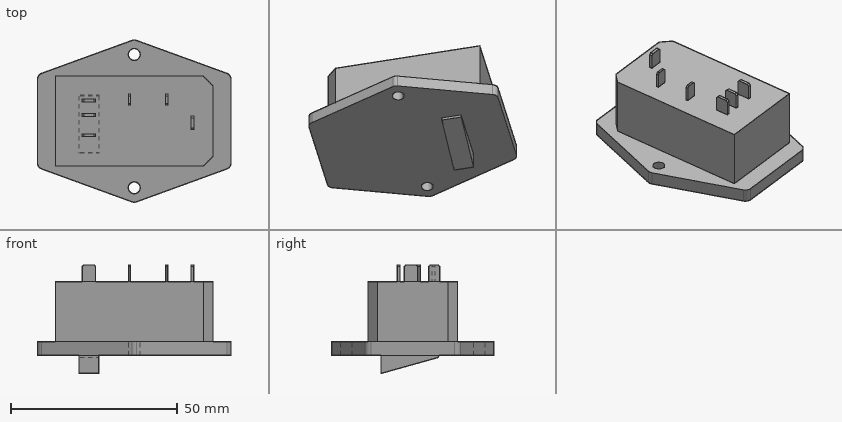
import cadquery as cq
import math


flange_length = 58.2
flange_width = 48.8
flange_thickness = 4.15
flange_corner_radius = 2.0
flange_slope = math.radians(20)
screw_hole_diameter = 3.5
screw_hole_offset = 20.0

housing_length = 47.3
housing_width = 27.0
housing_height = 18.05
housing_chamfer = 2.9

terminal_height = 5.05
terminal_tip_chamfer = 0.5
wide_blade = 4.1
narrow_blade = 3.3
thick_blade = 0.9
thin_blade = 0.65
switch_x = -13.6

terminals_along_x = [
    (switch_x, 6.2, wide_blade, thick_blade),
    (switch_x, 1.85, wide_blade, thick_blade),
    (switch_x, -4.25, wide_blade, thick_blade),
]
terminals_along_y = [
    (-1.45, 6.45, narrow_blade, thin_blade),
    (9.8, 6.45, narrow_blade, thin_blade),
    (17.45, -0.5, wide_blade, thick_blade),
]

rocker_width = 6.0
rocker_front_y = -9.55
rocker_back_y = 7.9
rocker_depth = 5.4
rocker_step_run = 0.3
rocker_step_depth = 0.65
rocker_tip_run = 0.05
rocker_tip_height = 0.2

housing_top = flange_thickness + housing_height


def make_flange():
    rounding_loss = flange_corner_radius * (1 / math.cos(flange_slope) - 1)
    tip_y = flange_width / 2 + rounding_loss
    side_x = flange_length / 2
    side_y = tip_y - side_x * math.tan(flange_slope)
    outline = [
        (side_x, side_y),
        (0, tip_y),
        (-side_x, side_y),
        (-side_x, -side_y),
        (0, -tip_y),
        (side_x, -side_y),
    ]
    plate = cq.Workplane("XY").polyline(outline).close().extrude(flange_thickness)
    plate = plate.edges("|Z").fillet(flange_corner_radius)
    top_face = plate.faces(">Z").workplane(origin=(0, 0, 0))
    hole_centres = [(0, screw_hole_offset), (0, -screw_hole_offset)]
    return top_face.pushPoints(hole_centres).hole(screw_hole_diameter)


def make_housing():
    base = cq.Workplane("XY").workplane(offset=flange_thickness)
    block = base.rect(housing_length, housing_width).extrude(housing_height)
    return block.edges("|Z and >X").chamfer(housing_chamfer)


def make_terminal(x, y, width, thickness, turn):
    """Upright blade with both top corners chamfered; turn is its rotation about Z in degrees."""
    blade = cq.Workplane("XY").rect(width, thickness).extrude(terminal_height)
    blade = blade.edges("|Y and >Z").chamfer(terminal_tip_chamfer)
    return blade.rotate((0, 0, 0), (0, 0, 1), turn).translate((x, y, housing_top))


def make_rocker():
    profile = [
        (rocker_front_y, 0),
        (rocker_back_y, 0),
        (rocker_back_y - rocker_step_run, -rocker_step_depth),
        (rocker_front_y + rocker_tip_run, -rocker_depth),
        (rocker_front_y, -rocker_depth + rocker_tip_height),
    ]
    plane = cq.Workplane("YZ", origin=(switch_x, 0, 0))
    return plane.polyline(profile).close().extrude(rocker_width / 2, both=True)


result = make_flange().union(make_housing()).union(make_rocker())
for blade_size in terminals_along_x:
    result = result.union(make_terminal(*blade_size, turn=0))
for blade_size in terminals_along_y:
    result = result.union(make_terminal(*blade_size, turn=90))